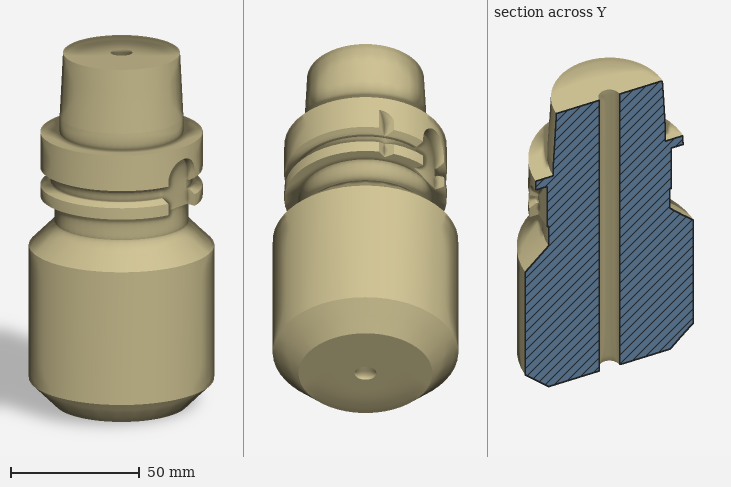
import cadquery as cq

total_height = 142.0
body_radius = 36.0
neck_radius = 26.0
body_chamfer = body_radius - neck_radius
body_top = 63.9
neck_base = body_top + body_chamfer

flange_radius = 31.5
flange_base = 83.9
flange_top = 109.9
groove_radius = 27.5
groove_ledge_radius = 28.8
groove_middle = 92.0
groove_floor_width = 3.7
groove_mouth_width = 7.0

shank_radius = 24.0
shank_tip_radius = 22.7
taper_base = 116.5
bore_diameter = 8.5

keyway_width = 16.0
keyway_floor = 26.5
keyway_top = 105.1

notch_floor = 20.0
notch_wall = 20.0
notch_arch_radius = 5.4
notch_top = 104.2


def turned_body():
    """Revolve the half outline of the holder about Z."""
    half_floor = groove_floor_width / 2
    half_mouth = groove_mouth_width / 2
    outline = [
        (0, 0),
        (neck_radius, 0),
        (body_radius, body_chamfer),
        (body_radius, body_top),
        (neck_radius, neck_base),
        (neck_radius, flange_base),
        (flange_radius, flange_base),
        (flange_radius, groove_middle - half_mouth),
        (groove_ledge_radius, groove_middle - half_floor),
        (groove_radius, groove_middle - half_floor),
        (groove_radius, groove_middle + half_floor),
        (groove_ledge_radius, groove_middle + half_floor),
        (flange_radius, groove_middle + half_mouth),
        (flange_radius, flange_top),
        (shank_radius, flange_top),
        (shank_radius, taper_base),
        (shank_tip_radius, total_height),
        (0, total_height),
    ]
    return cq.Workplane("XZ").polyline(outline).close().revolve(360, (0, 0), (0, 1))


def arched_cutter(middle_y, half_width, top, floor):
    """Round-topped slot, open at the flange base, from X = floor outward along +X."""
    spring = top - half_width
    return (
        cq.Workplane("YZ", origin=(floor, 0, 0))
        .moveTo(middle_y - half_width, flange_base)
        .lineTo(middle_y - half_width, spring)
        .threePointArc((middle_y, top), (middle_y + half_width, spring))
        .lineTo(middle_y + half_width, flange_base)
        .close()
        .extrude(flange_radius)
    )


result = turned_body()

result = result.cut(cq.Workplane("XY").circle(bore_diameter / 2).extrude(total_height))

keyway = arched_cutter(0, keyway_width / 2, keyway_top, keyway_floor)
result = result.cut(keyway).cut(keyway.mirror("YZ"))

notch = arched_cutter(notch_wall + notch_arch_radius, notch_arch_radius, notch_top, notch_floor)
result = result.cut(notch.mirror("YZ"))